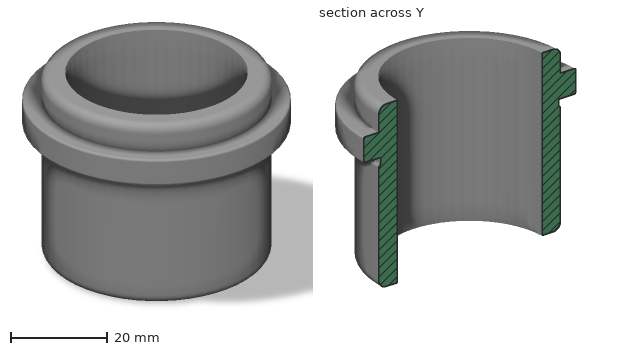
import cadquery as cq

flange_diameter = 56.0
total_height = 42.0
body_diameter = 48.0
bore_diameter = 38.0

flange_bottom = 30.0
flange_thickness = 6.0
flange_edge_radius = 0.5

rim_radius = 2.0

groove_depth = 0.5
groove_floor_height = 1.4
groove_taper_height = 0.6


def cylinder(diameter, height, bottom=0):
    return cq.Workplane("XY").workplane(offset=bottom).circle(diameter / 2).extrude(height)


def make_groove():
    """Ring with a straight floor and a tapered lower side."""
    outer = body_diameter / 2
    floor = outer - groove_depth
    floor_bottom = flange_bottom - groove_floor_height
    return (
        cq.Workplane("XZ")
        .moveTo(outer, flange_bottom)
        .lineTo(floor, flange_bottom)
        .lineTo(floor, floor_bottom)
        .lineTo(outer, floor_bottom - groove_taper_height)
        .close()
        .revolve(360, (0, 0, 0), (0, 1, 0))
    )


sleeve = cylinder(body_diameter, total_height).edges().fillet(rim_radius)
sleeve = sleeve.cut(make_groove())

flange = cylinder(flange_diameter, flange_thickness, flange_bottom).edges().fillet(flange_edge_radius)

result = sleeve.union(flange).cut(cylinder(bore_diameter, total_height))